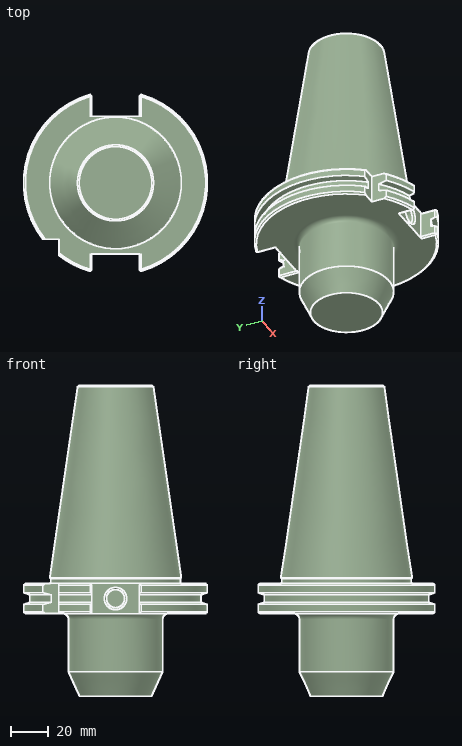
import cadquery as cq

total_height = 164.8
nose_cone_height = 13.0
gauge_height = 63.0
neck_height = 3.1
flange_thickness = 16.0
flange_top = gauge_height - neck_height
flange_bottom = flange_top - flange_thickness
flange_middle = flange_top - flange_thickness / 2

gauge_radius = 35.0
taper_ratio = 7 / 24
taper_top_radius = gauge_radius - (total_height - gauge_height) * taper_ratio / 2
taper_top_chamfer = 0.8

neck_step = 0.5
neck_step_height = 0.7
neck_fillet = 0.7
neck_radius = gauge_radius - neck_step

shank_radius = 25.0
nose_radius = 19.1
shank_fillet = 3.0

flange_radius = 48.8
rim_chamfer = 1.0
groove_floor_radius = 45.5
groove_floor_width = 4.0
groove_mouth_width = 6.3
groove_overrun = 1.6

slot_width = 25.4
slot_edge_chamfer = 0.8
front_slot_floor = 37.7
back_slot_floor = 35.5

notch_corner = 30.0

hole_radius = 4.8
hole_countersink = 1.2
hole_depth = 5.0


def make_flange():
    """Disc with chamfered rims."""
    return (
        cq.Workplane("XY")
        .workplane(offset=flange_bottom)
        .circle(flange_radius)
        .extrude(flange_thickness)
        .edges()
        .chamfer(rim_chamfer)
    )


def make_slot_cutter(side, floor):
    """Drive slot open at the rim; side is -1 for -Y and +1 for +Y.

    The cutter flares outwards at the two flange faces and at the rim,
    which chamfers the long edges of the slot walls.
    """
    half_width = slot_width / 2
    flared = half_width + slot_edge_chamfer
    rim_corner = (flange_radius**2 - flared**2) ** 0.5
    flare_start = rim_corner - slot_edge_chamfer
    beyond_rim = flange_radius + slot_edge_chamfer
    beyond_flare = half_width + beyond_rim - flare_start

    slot = (
        cq.Workplane("XY")
        .workplane(offset=flange_bottom)
        .polyline([
            (-half_width, side * floor),
            (half_width, side * floor),
            (half_width, side * flare_start),
            (beyond_flare, side * beyond_rim),
            (-beyond_flare, side * beyond_rim),
            (-half_width, side * flare_start),
        ])
        .close()
        .extrude(flange_thickness)
    )
    face_flare = (
        cq.Workplane("XZ", origin=(0, side * floor, 0))
        .polyline([
            (-flared, flange_top),
            (flared, flange_top),
            (half_width, flange_top - slot_edge_chamfer),
            (half_width, flange_bottom + slot_edge_chamfer),
            (flared, flange_bottom),
            (-flared, flange_bottom),
            (-half_width, flange_bottom + slot_edge_chamfer),
            (-half_width, flange_top - slot_edge_chamfer),
        ])
        .close()
        .extrude(-side * (beyond_rim - floor))
    )
    return slot.union(face_flare)


def make_groove_cutter():
    """Ring with a trapezoid section, its flanks continued past the rim."""
    flank_rise = (groove_mouth_width - groove_floor_width) / 2
    flank_slope = flank_rise / (flange_radius - groove_floor_radius)
    outer_radius = flange_radius + groove_overrun
    floor_half = groove_floor_width / 2
    outer_half = floor_half + flank_slope * (outer_radius - groove_floor_radius)
    return (
        cq.Workplane("XZ")
        .polyline([
            (groove_floor_radius, flange_middle - floor_half),
            (outer_radius, flange_middle - outer_half),
            (outer_radius, flange_middle + outer_half),
            (groove_floor_radius, flange_middle + floor_half),
        ])
        .close()
        .revolve(360, (0, 0, 0), (0, 1, 0))
    )


def make_notch_cutter():
    """Square corner taken out of the rim through the full flange thickness."""
    return (
        cq.Workplane("XY")
        .workplane(offset=flange_bottom)
        .moveTo(-notch_corner, -notch_corner)
        .lineTo(-flange_radius, -notch_corner)
        .lineTo(-flange_radius, -flange_radius)
        .lineTo(-notch_corner, -flange_radius)
        .close()
        .extrude(flange_thickness)
    )


def make_core():
    """Turned body without the flange: nose, shank, neck and taper."""
    return (
        cq.Workplane("XZ")
        .moveTo(0, 0)
        .lineTo(nose_radius, 0)
        .lineTo(shank_radius, nose_cone_height)
        .lineTo(shank_radius, flange_bottom - shank_fillet)
        .radiusArc((shank_radius + shank_fillet, flange_bottom), shank_fillet)
        .lineTo(neck_radius + neck_fillet, flange_bottom)
        .lineTo(neck_radius + neck_fillet, flange_top)
        .radiusArc((neck_radius, flange_top + neck_fillet), neck_fillet)
        .lineTo(neck_radius, gauge_height - neck_step_height)
        .lineTo(gauge_radius, gauge_height)
        .lineTo(taper_top_radius, total_height)
        .lineTo(0, total_height)
        .close()
        .revolve(360, (0, 0, 0), (0, 1, 0))
        .faces(">Z")
        .edges()
        .chamfer(taper_top_chamfer)
    )


def make_hole_cutter():
    """Countersunk blind hole running towards +Y from the slot floor."""
    slot_floor_plane = cq.Workplane("XZ", origin=(0, -front_slot_floor, flange_middle))
    bore = slot_floor_plane.circle(hole_radius).extrude(-hole_depth)
    countersink = cq.Solid.makeCone(
        hole_radius + hole_countersink,
        hole_radius,
        hole_countersink,
        pnt=cq.Vector(0, -front_slot_floor, flange_middle),
        dir=cq.Vector(0, 1, 0),
    )
    return bore.union(cq.Workplane(countersink))


flange = (
    make_flange()
    .cut(make_slot_cutter(-1, front_slot_floor))
    .cut(make_slot_cutter(1, back_slot_floor))
    .cut(make_groove_cutter())
    .cut(make_notch_cutter())
)
result = make_core().union(flange).cut(make_hole_cutter())